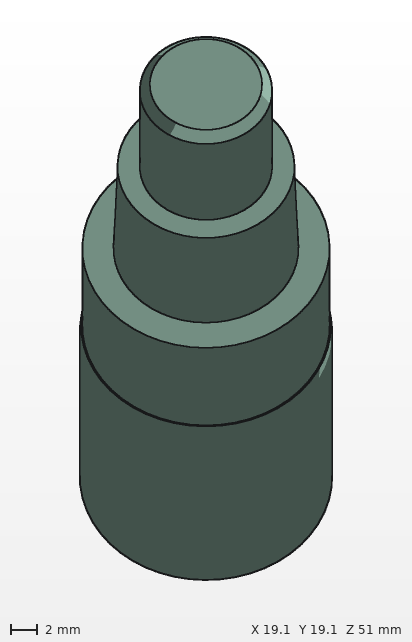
import cadquery as cq

total_height = 51.0
sleeve_height = 20.1
collar_top = 30.05
taper_top = 40.5

sleeve_radius = 9.55
collar_radius = 9.35
taper_base_radius = 7.0
taper_top_radius = 6.7
pin_radius = 5.0

bottom_fillet = 0.75
sleeve_chamfer_width = 0.1
sleeve_chamfer_height = 0.9
pin_chamfer = 0.75


def make_sleeve():
    """Lower cylinder with a rounded bottom rim and a shallow lead-in at the top."""
    rim_radius = sleeve_radius - sleeve_chamfer_width
    profile = (
        cq.Workplane("XZ")
        .lineTo(sleeve_radius, 0)
        .lineTo(sleeve_radius, sleeve_height - sleeve_chamfer_height)
        .lineTo(rim_radius, sleeve_height)
        .lineTo(0, sleeve_height)
        .close()
    )
    return profile.revolve(360, (0, 0), (0, 1)).faces("<Z").edges().fillet(bottom_fillet)


def make_stepped_pin():
    """Collar, tapered shoulder and chamfered pin, standing on the sleeve."""
    profile = (
        cq.Workplane("XZ")
        .moveTo(0, sleeve_height)
        .lineTo(collar_radius, sleeve_height)
        .lineTo(collar_radius, collar_top)
        .lineTo(taper_base_radius, collar_top)
        .lineTo(taper_top_radius, taper_top)
        .lineTo(pin_radius, taper_top)
        .lineTo(pin_radius, total_height)
        .lineTo(0, total_height)
        .close()
    )
    return profile.revolve(360, (0, 0), (0, 1)).faces(">Z").edges().chamfer(pin_chamfer)


sleeve = make_sleeve()
stepped_pin = make_stepped_pin()

result = cq.Compound.makeCompound([sleeve.val(), stepped_pin.val()])